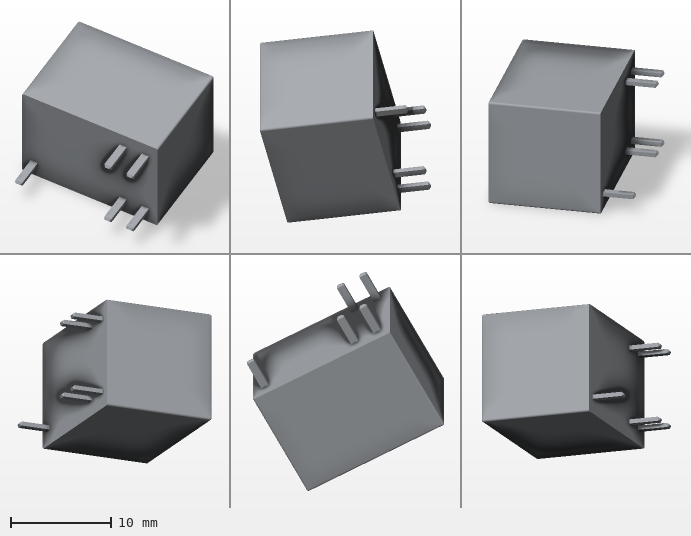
import cadquery as cq

case_width = 15.5
case_height = 11.1
total_depth = 14.8
pin_length = 3.3
case_depth = total_depth - pin_length
edge_radius = 0.2

pitch = 2.54
pin_width = 0.8
pin_thickness = 0.43
tip_land = 0.008
tip_taper = (pin_thickness - tip_land) / 2
outer_pin_x = 2.5 * pitch
inner_pin_x = outer_pin_x - pitch
pin_row_z = 1.5 * pitch

pin_positions = [
    (-outer_pin_x, -pin_row_z),
    (inner_pin_x, -pin_row_z),
    (outer_pin_x, -pin_row_z),
    (inner_pin_x, pin_row_z),
    (outer_pin_x, pin_row_z),
]


def make_case():
    """Box behind the pin face (Y = 0), rounded on every edge except around that face."""
    case = cq.Workplane("XY").box(case_width, case_depth, case_height, centered=(True, False, True))
    return case.edges("|Y or >Y").fillet(edge_radius)


def make_pin(x, z):
    """Blade rooted on the pin face, pointing toward -Y, with all four tip edges chamfered."""
    pin = cq.Workplane("XY").box(pin_width, pin_length, pin_thickness)
    pin = pin.faces("<Y").edges().chamfer(tip_taper)
    return pin.translate((x, -pin_length / 2, z))


result = make_case()
for pin_x, pin_z in pin_positions:
    result = result.union(make_pin(pin_x, pin_z))